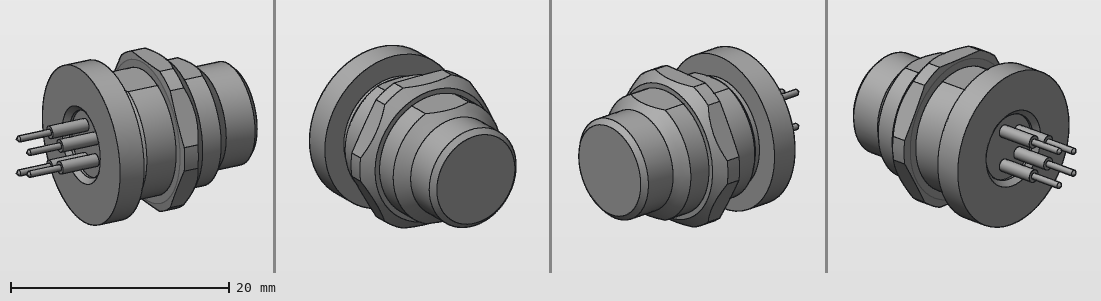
import cadquery as cq
import math


flange_diameter = 15.0
flange_thickness = 2.5
groove_diameter = 10.77
groove_width = 0.5
barrel_front = flange_thickness + groove_width
body_diameter = 12.0
body_across_flats = 11.0
body_front_chamfer = 0.6
body_shoulder_end = 12.5
overall_body_length = 16.0
thread_diameter = 9.7
thread_chamfer = 0.5
shoulder_chamfer = (body_diameter - thread_diameter) / 2

nut_diameter = 15.0
nut_across_flats = 14.0
nut_front = 6.65
nut_thickness = 2.5
nut_back_chamfer = 1.0
nut_face_diameter = 13.5
nut_face_relief = 0.08

recess_diameter = 6.35
recess_chamfer = 0.5
recess_depth = 0.75

sleeve_diameter = 1.2
sleeve_length = 3.0
pin_diameter = 0.6
pin_length = 6.5
pin_tip_length = pin_diameter / 2
upper_pin_places = [(-0.5, 1.7), (1.45, 1.09)]


def revolve_about_y(outline):
    """Turn a closed (radius, Y) outline around the Y axis."""
    return cq.Workplane("XY").polyline(outline).close().revolve(360, (0, 0, 0), (0, 1, 0))


def disc(diameter, start, end):
    """Cylinder on the Y axis between two axial positions."""
    radius = diameter / 2
    return revolve_about_y([(0, start), (radius, start), (radius, end), (0, end)])


def make_flange():
    """Flange with the neck that forms the bottom of the groove behind it."""
    flange = disc(flange_diameter, 0, flange_thickness)
    return flange.union(disc(groove_diameter, 0, barrel_front))


def make_body():
    """Chamfered barrel with two flats facing +Z and -Z."""
    body_radius = body_diameter / 2
    thread_radius = thread_diameter / 2
    barrel = revolve_about_y([
        (0, barrel_front),
        (body_radius - body_front_chamfer, barrel_front),
        (body_radius, barrel_front + body_front_chamfer),
        (body_radius, body_shoulder_end - shoulder_chamfer),
        (thread_radius, body_shoulder_end),
        (0, body_shoulder_end),
    ])
    flats = cq.Workplane("XY").box(body_diameter, 2 * overall_body_length, body_across_flats)
    return barrel.intersect(flats)


def make_thread_end():
    """Smooth cylinder on the mating end, with a chamfered rim."""
    radius = thread_diameter / 2
    return revolve_about_y([
        (0, body_shoulder_end),
        (radius, body_shoulder_end),
        (radius, overall_body_length - thread_chamfer),
        (radius - thread_chamfer, overall_body_length),
        (0, overall_body_length),
    ])


def make_nut():
    """Hexagon with flats facing +Z and -Z, corners turned round, bored to fit over the barrel."""
    back = nut_front + nut_thickness
    radius = nut_diameter / 2
    turned = revolve_about_y([
        (0, nut_front),
        (nut_face_diameter / 2, nut_front),
        (radius, nut_front + nut_face_relief),
        (radius, back - nut_back_chamfer),
        (radius - nut_back_chamfer, back),
        (0, back),
    ])
    across_corners = nut_across_flats / math.cos(math.pi / 6)
    hexagon = (
        cq.Workplane("XZ", origin=(0, back, 0))
        .polygon(6, across_corners)
        .extrude(nut_thickness)
    )
    return turned.intersect(hexagon).cut(disc(body_diameter, nut_front, back))


def make_recess():
    """Round pocket in the flange face with a 45 degree chamfer at its mouth."""
    radius = recess_diameter / 2
    return revolve_about_y([
        (0, 0),
        (radius + recess_chamfer, 0),
        (radius, recess_chamfer),
        (radius, recess_depth),
        (0, recess_depth),
    ])


def make_pin(x, z):
    """Sleeve and pointed contact, standing on the recess floor."""
    pin_radius = pin_diameter / 2
    sleeve_radius = sleeve_diameter / 2
    pin = revolve_about_y([
        (0, recess_depth),
        (sleeve_radius, recess_depth),
        (sleeve_radius, -sleeve_length),
        (pin_radius, -sleeve_length),
        (pin_radius, -pin_length + pin_tip_length),
        (0, -pin_length),
    ])
    return pin.translate((x, 0, z))


result = make_flange().union(make_body()).union(make_thread_end()).union(make_nut())
result = result.cut(make_recess())
for pin_x, pin_z in upper_pin_places:
    for side in (1, -1):
        result = result.union(make_pin(pin_x, side * pin_z))